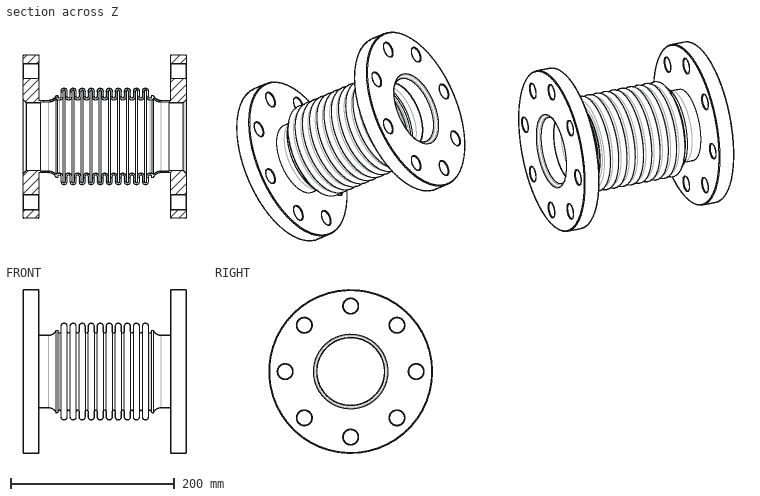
import cadquery as cq
import math

length = 200.0
flange_diameter = 200.0
flange_thickness = 20.0
edge_chamfer = 1.0

bolt_count = 8
bolt_circle_radius = 80.0
bolt_hole_diameter = 18.0
bolt_hole_chamfer = 0.8

bore_radius = 82.5 / 2
mouth_radius = 45.5
mouth_cone_start = (1.0, 44.5)
mouth_cone_end = (3.2, 42.2)
mouth_depth = 4.5
bore_depth = 21.5

pipe_outer_radius = 88.8 / 2
pipe_inner_radius = 84.5 / 2
pipe_wall = pipe_outer_radius - pipe_inner_radius
flare_start = 31.5
flare_bend_radius = 9.5

crest_count = 10
crest_span = 99.5
pitch = crest_span / (crest_count - 1)
bellows_wall = 2.5
crest_radius = 59.2
valley_radius = 47.2
valley_inner_radius = valley_radius - bellows_wall
crest_outer_bend = 3.8
crest_inner_bend = crest_outer_bend - bellows_wall
valley_outer_bend = pitch / 2 - crest_outer_bend
valley_inner_bend = valley_outer_bend + bellows_wall
crest_bend_height = crest_radius - crest_outer_bend
valley_bend_height = valley_radius + valley_outer_bend
first_valley_x = -crest_span / 2 - pitch / 2

cuff_start_x = first_valley_x - valley_inner_bend
lip_end_x = first_valley_x - valley_outer_bend
lip_radius = 49.8
lip_crown_radius = 50.5

end_x = -length / 2

SIN_45 = math.sin(math.radians(45))


def revolve_about_x(profile):
    """Close an outline of (x, radius) points and spin it around the X axis."""
    return profile.close().revolve(360, (0, 0, 0), (1, 0, 0))


def make_flange():
    """Chamfered disc with a funnel-mouthed bore and a ring of bolt holes."""
    outer_radius = flange_diameter / 2
    back_x = end_x + flange_thickness
    disc = revolve_about_x(
        cq.Workplane("XY")
        .moveTo(end_x, mouth_radius)
        .lineTo(end_x, outer_radius - edge_chamfer)
        .lineTo(end_x + edge_chamfer, outer_radius)
        .lineTo(back_x - edge_chamfer, outer_radius)
        .lineTo(back_x, outer_radius - edge_chamfer)
        .lineTo(back_x, pipe_outer_radius)
        .lineTo(end_x + bore_depth, pipe_outer_radius)
        .lineTo(end_x + bore_depth, bore_radius)
        .lineTo(end_x + mouth_depth, bore_radius)
        .lineTo(end_x + mouth_cone_end[0], mouth_cone_end[1])
        .lineTo(end_x + mouth_cone_start[0], mouth_cone_start[1])
    )
    hole_radius = bolt_hole_diameter / 2
    rim_radius = hole_radius + bolt_hole_chamfer
    cutter = (
        cq.Workplane("XY")
        .moveTo(end_x, 0)
        .lineTo(end_x, rim_radius)
        .lineTo(end_x + bolt_hole_chamfer, hole_radius)
        .lineTo(back_x - bolt_hole_chamfer, hole_radius)
        .lineTo(back_x, rim_radius)
        .lineTo(back_x, 0)
    )
    cutter = revolve_about_x(cutter).translate((0, bolt_circle_radius, 0))
    for index in range(bolt_count):
        disc = disc.cut(cutter.rotate((0, 0, 0), (1, 0, 0), index * 360 / bolt_count))
    return disc


def make_pipe():
    """Pipe stub that bends outward into a lipped cuff, ending at the first bellows valley."""
    stub_x = end_x + flange_thickness
    bend_x = end_x + flare_start
    bend_centre = pipe_outer_radius + flare_bend_radius

    def bend_point(bend, x):
        return x, bend_centre - math.sqrt(bend**2 - (x - bend_x) ** 2)

    middle_x = (bend_x + cuff_start_x) / 2
    inner_bend = flare_bend_radius + pipe_wall
    inner_end = bend_point(inner_bend, cuff_start_x)
    cuff_step = inner_end[1] - valley_inner_radius
    valley_slant = valley_outer_bend * SIN_45
    return revolve_about_x(
        cq.Workplane("XY")
        .moveTo(stub_x, pipe_inner_radius)
        .lineTo(stub_x, pipe_outer_radius)
        .lineTo(bend_x, pipe_outer_radius)
        .threePointArc(
            bend_point(flare_bend_radius, middle_x),
            bend_point(flare_bend_radius, cuff_start_x),
        )
        .threePointArc(((cuff_start_x + lip_end_x) / 2, lip_crown_radius), (lip_end_x, lip_radius))
        .lineTo(lip_end_x, valley_bend_height)
        .threePointArc(
            (first_valley_x - valley_slant, valley_bend_height - valley_slant),
            (first_valley_x, valley_radius),
        )
        .lineTo(first_valley_x, valley_inner_radius)
        .lineTo(cuff_start_x + cuff_step, valley_inner_radius)
        .lineTo(*inner_end)
        .threePointArc(bend_point(inner_bend, middle_x), (bend_x, pipe_inner_radius))
    )


def make_bellows():
    """Thin-walled ring of U-shaped convolutions, from the first valley bottom to the last."""
    crests = [first_valley_x + (index + 0.5) * pitch for index in range(crest_count)]

    def add_wave(profile, crest_x, direction, valley_bend, crest_bend):
        """Trace one surface of the wall from valley bottom over a crest to valley bottom."""
        valley_offset = direction * (pitch / 2)
        slant_offset = direction * (pitch / 2 - valley_bend * SIN_45)
        leg_offset = direction * crest_bend
        valley_bottom = valley_bend_height - valley_bend
        slant_height = valley_bend_height - valley_bend * SIN_45
        return (
            profile.threePointArc(
                (crest_x - slant_offset, slant_height),
                (crest_x - leg_offset, valley_bend_height),
            )
            .lineTo(crest_x - leg_offset, crest_bend_height)
            .threePointArc(
                (crest_x, crest_bend_height + crest_bend),
                (crest_x + leg_offset, crest_bend_height),
            )
            .lineTo(crest_x + leg_offset, valley_bend_height)
            .threePointArc(
                (crest_x + slant_offset, slant_height),
                (crest_x + valley_offset, valley_bottom),
            )
        )

    profile = cq.Workplane("XY").moveTo(first_valley_x, valley_inner_radius)
    profile = profile.lineTo(first_valley_x, valley_radius)
    for crest_x in crests:
        profile = add_wave(profile, crest_x, 1, valley_outer_bend, crest_outer_bend)
    profile = profile.lineTo(-first_valley_x, valley_inner_radius)
    for crest_x in reversed(crests):
        profile = add_wave(profile, crest_x, -1, valley_inner_bend, crest_inner_bend)
    return revolve_about_x(profile)


end_fitting = make_flange().union(make_pipe())
result = make_bellows()
for fitting in (end_fitting, end_fitting.mirror("YZ")):
    result = result.union(fitting, clean=False)